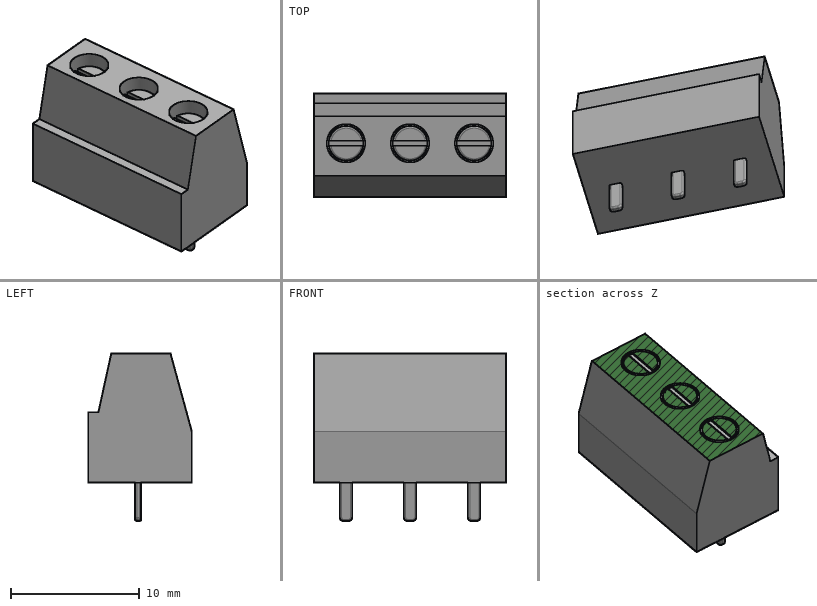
import cadquery as cq


length = 15
pole_count = 3
pitch = length / pole_count
depth = 8.1
height = 10.1
front_wall_height = 4.0
front_top_inset = 1.66
rear_ledge_height = 5.5
rear_ledge_depth = 0.8
rear_top_inset = 1.8

pole_y = 4.2

recess_diameter = 3
recess_depth = 1.5
head_diameter = 2.7
head_height = 0.5
head_rounding = 0.15
slot_width = 0.38
slot_depth = 0.4

pin_length = 3
pin_width = 1.0
pin_thickness = 0.5
pin_tip_radius = 0.3
pin_edge_radius = 0.15


def make_housing():
    """Extrude the stepped and sloped side profile along the row, centred on X."""
    profile = [
        (0, 0),
        (depth, 0),
        (depth, rear_ledge_height),
        (depth - rear_ledge_depth, rear_ledge_height),
        (depth - rear_top_inset, height),
        (front_top_inset, height),
        (0, front_wall_height),
    ]
    return cq.Workplane("YZ").polyline(profile).close().extrude(length / 2, both=True)


def make_recess():
    """Round pocket cut down from the top face, at X = 0."""
    floor_z = height - recess_depth
    return cq.Workplane(origin=(0, pole_y, floor_z)).circle(recess_diameter / 2).extrude(recess_depth)


def make_screw_head():
    """Rounded screw head on the recess floor, with a slot along X, at X = 0."""
    floor_z = height - recess_depth
    head = cq.Workplane(origin=(0, pole_y, floor_z)).circle(head_diameter / 2).extrude(head_height)
    head = head.faces(">Z").edges().fillet(head_rounding)
    slot = cq.Workplane(origin=(0, pole_y, floor_z + head_height - slot_depth)).box(
        head_diameter, slot_width, slot_depth, centered=(True, True, False)
    )
    return head.cut(slot)


def make_pin():
    """Flat pin with a rounded tip and rounded edges, hanging below Z = 0, at X = 0."""
    pin = cq.Workplane(origin=(0, pole_y, -pin_length)).box(
        pin_width, pin_thickness, pin_length, centered=(True, True, False)
    )
    pin = pin.faces("<Z").edges("|Y").fillet(pin_tip_radius)
    return pin.faces("<Y or >Y").edges("not >Z").fillet(pin_edge_radius)


pole_positions = [(index - (pole_count - 1) / 2) * pitch for index in range(pole_count)]

result = make_housing()
for x in pole_positions:
    result = result.cut(make_recess().translate((x, 0, 0)))
    result = result.union(make_screw_head().translate((x, 0, 0)))
    result = result.union(make_pin().translate((x, 0, 0)))